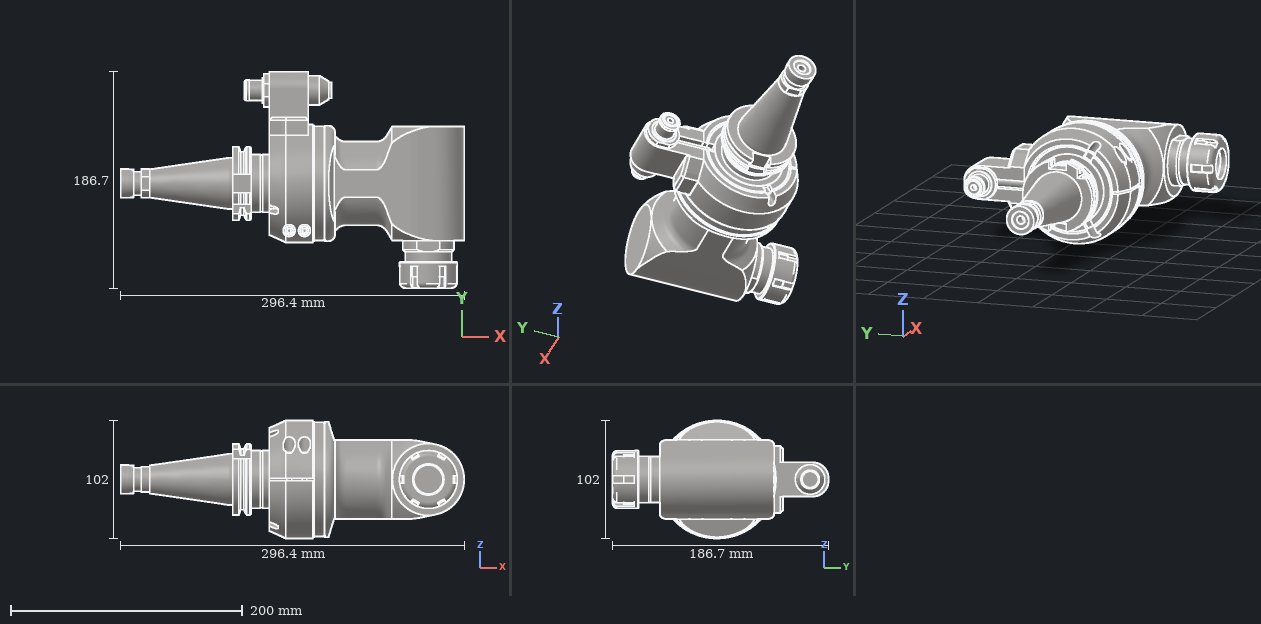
import cadquery as cq
import math



def turned(points):
    """Solid turned about the X axis from (x, radius) points; the end points lie on the axis."""
    return cq.Workplane("XY").polyline(points).close().revolve(360, (0, 0, 0), (1, 0, 0))


def rod_x(x_start, x_end, radius, y=0.0):
    """Cylinder parallel to X."""
    return cq.Workplane("YZ", origin=(x_start, y, 0)).circle(radius).extrude(x_end - x_start)


def block(x_range, y_range, z_range):
    """Box given by its limits along each axis."""
    size = [high - low for low, high in (x_range, y_range, z_range)]
    corner = (x_range[0], y_range[0], z_range[0])
    return cq.Workplane("XY").box(*size, centered=False).translate(corner)


FAR = 100.0

gauge_radius = 44.45 / 2
taper_length = 68.4
taper_ratio = 7 / 24
taper_tip_radius = gauge_radius - taper_length * taper_ratio / 2
stud_front_x = -93.4
stud_head_taper_x = -86.8
stud_head_end_x = -82.3
stud_collar_x = -75.7
stud_radius = 12.5
stud_head_rear_radius = 12.1
stud_neck_radius = 10.3
stud_half_flats = 11.0
stud_recess_radius = 7.7
stud_recess_depth = 1.5
stud_bore_radius = 3.5
stud_bore_depth = 15.0

flange_start_x = 3.2
flange_end_x = 19.3
flange_radius = 31.75
flange_chamfer = 1.2
groove_start_x = 8.6
groove_end_x = 14.3
groove_wall_run = 1.4
groove_radius = 27.5
drive_slot_width = 16.1
drive_slot_floors = (24.3, -22.8)
notch_offset = 18.0

shaft_radius = 25.0
seal_start_x = 26.8
seal_end_x = 29.0
seal_depth = 0.4

hub_front_x = 34.7
hub_radius = 37.5
hub_recess_radius = 31.3
hub_recess_depth = 0.5
hub_groove_depth = 4.0
ring_front_x = hub_front_x
ring_knee_x = 44.8
ring_full_x = 48.8
ring_chamfer_x = 72.1
ring_end_x = 73.5
ring_front_radius = 44.5
ring_knee_radius = 49.0
ring_radius = 51.0
ring_end_radius = 49.7
ring_bore_chamfer = 1.7
ring_flat_y = 41.5
slit_width = 2.0
key_groove_width = 7.4
key_groove_depth = 8.0
key_groove_angles = (60, -60)

screw_y = -40.6
screw_xs = (51.9, 65.1)
pocket_radius = 5.2
pocket_floor_z = 19.4
screw_head_radius = 3.5
screw_head_height = 4.0
screw_shank_radius = 2.1
screw_tip_z = -15.0
screw_socket_diameter = 4.0
screw_socket_depth = 2.0

head_collar_radius = 49.4
head_groove_start_x = 82.0
head_groove_end_x = 82.8
head_groove_depth = 0.9
head_flange_radius = 49.9
head_flange_end_x = 86.0
head_round_middle = (89.6, 48.4)
head_round_end = (91.1, 41.3)
neck_start_x = 100.5
neck_end_x = 127.3
neck_radius = 36.2
neck_fillet = 10.0
neck_start_angle = math.radians(45)
neck_end_angle = math.radians(60)
barrel_start_x = 140.4
barrel_x = 172.0
barrel_radius = 31.0
barrel_half_length = 49.2
flat_half_height = 34.2
relief_top_x = 85.9
relief_foot_x = 90.7
roof_break_start_x = 156.8
roof_break_end_x = 163.2
roof_tangent_x = 178.2
shell_radius = math.hypot(barrel_half_length, barrel_radius)

arm_end_x = 68.6
arm_half_height = 14.9
ear_half_height = 29.0
ear_end_y = 57.0
ear_chamfer = 2.5
pin_y = 80.3
arm_end_y = 96.35
arm_round_radius = 14.1
lever_diameter = 8.0
lever_inset = 3.5
lever_end_y = 34.6
lever_tip_y = 31.6
lever_tip_radius = 3.3

pin_radius = 9.0
pin_front_x = 13.2
pin_chamfer = 1.5
waist_start_x = 17.4
waist_end_x = 28.8
waist_radius = 8.8
pin_step_radius = 11.0
collar_front_x = 30.0
collar_radius = 14.4
collar_half_flats = 13.3
pin_bore_radius = 6.0
cap_knee_x = 77.9
cap_cone_end_x = 85.9
cap_end_x = 88.6
cap_radius = 12.8
cap_cone_radius = 8.0
cap_tip_radius = 7.0
pin_recess_radius = 5.9
pin_recess_depth = 0.8
pin_socket_radius = 2.5
pin_socket_depth = 8.0

collar_depth = 9.5
spindle_collar_radius = 22.3
spindle_half_flats = 20.0
spindle_chamfer = 1.7
spindle_radius = 20.2
nut_start_depth = 18.4
nut_depth = 41.15
nut_knee_depth = 37.1
nut_radius = 25.0
nut_round_middle = (24.0, 39.1)
nut_face_radius = 19.1
nut_mouth_radius = 13.5
nut_lip_radius = 12.5
nut_lip_depth = 36.0
nut_chamfer = 0.8
spindle_depth = 31.0
nut_slot_count = 6
nut_slot_width = 6.4
nut_slot_start_depth = 22.3
nut_slot_floor_radius = 21.4
nut_slot_step_depth = 31.3
nut_slot_rear_radius = 22.6


def make_shank():
    body = turned([
        (stud_front_x, 0),
        (stud_front_x, stud_radius),
        (stud_head_taper_x, stud_radius),
        (stud_head_end_x, stud_head_rear_radius),
        (stud_head_end_x, stud_neck_radius),
        (stud_collar_x, stud_neck_radius),
        (stud_collar_x, stud_radius),
        (-taper_length, stud_radius),
        (-taper_length, taper_tip_radius),
        (0, gauge_radius),
        (flange_start_x, gauge_radius),
        (flange_start_x, flange_radius),
        (groove_start_x, flange_radius),
        (groove_start_x + groove_wall_run, groove_radius),
        (groove_end_x - groove_wall_run, groove_radius),
        (groove_end_x, flange_radius - flange_chamfer),
        (groove_end_x + flange_chamfer, flange_radius),
        (flange_end_x - flange_chamfer, flange_radius),
        (flange_end_x, flange_radius - flange_chamfer),
        (flange_end_x, shaft_radius),
        (seal_start_x, shaft_radius),
        (seal_start_x, shaft_radius - seal_depth),
        (seal_end_x, shaft_radius - seal_depth),
        (seal_end_x, shaft_radius),
        (hub_front_x + hub_recess_depth, shaft_radius),
        (hub_front_x + hub_recess_depth, 0),
    ])
    for side in (1, -1):
        limits = sorted((side * stud_half_flats, side * FAR))
        body = body.cut(block((stud_collar_x, -taper_length), (-FAR, FAR), limits))
    flange_span = (flange_start_x, flange_end_x)
    half_slot = drive_slot_width / 2
    for floor in drive_slot_floors:
        limits = sorted((floor, math.copysign(FAR, floor)))
        body = body.cut(block(flange_span, (-half_slot, half_slot), limits))
    body = body.cut(block(flange_span, (-FAR, -notch_offset), (notch_offset, FAR)))
    body = body.cut(rod_x(stud_front_x, stud_front_x + stud_recess_depth, stud_recess_radius))
    return body.cut(rod_x(stud_front_x, stud_front_x + stud_bore_depth, stud_bore_radius))


def groove_cutter(width, depth, reach):
    """Round-bottomed groove in the ring front, running along -Y from the shank axis."""
    center_x = ring_front_x + depth - width / 2
    cutter = cq.Workplane("XZ", origin=(center_x, 0, 0)).circle(width / 2).extrude(reach)
    return cutter.union(block((ring_front_x, center_x), (-reach, 0), (-width / 2, width / 2)))


def key_groove(reach, angle):
    """Key groove at an angle from -Y towards +Z."""
    return groove_cutter(key_groove_width, key_groove_depth, reach).rotate((0, 0, 0), (1, 0, 0), -angle)


def lever_groove():
    """Groove for the pin's lever along +Y, from the hub recess to the pin bore."""
    groove = groove_cutter(lever_diameter, lever_inset + lever_diameter, pin_y)
    groove = groove.rotate((0, 0, 0), (1, 0, 0), 180)
    return groove.cut(block((0, FAR), (0, hub_recess_radius), (-FAR, FAR)))


def make_head():
    def fillet_point(end_x, direction, angle):
        """Point on a neck fillet, an angle away from where it meets the straight neck."""
        x = end_x + direction * neck_fillet * math.sin(angle)
        return x, neck_radius + neck_fillet * (1 - math.cos(angle))

    shell_start = math.sqrt(shell_radius**2 - (barrel_x - barrel_start_x) ** 2)
    shell_mid_x = (barrel_start_x + barrel_x) / 2
    shell_mid = math.sqrt(shell_radius**2 - (barrel_x - shell_mid_x) ** 2)
    tail_x = barrel_x + barrel_radius

    body = (
        cq.Workplane("XY")
        .moveTo(hub_front_x, 0)
        .lineTo(hub_front_x, hub_radius)
        .lineTo(ring_end_x, hub_radius)
        .lineTo(ring_end_x, head_collar_radius)
        .lineTo(head_groove_start_x, head_collar_radius)
        .lineTo(head_groove_start_x, head_collar_radius - head_groove_depth)
        .lineTo(head_groove_end_x, head_collar_radius - head_groove_depth)
        .lineTo(head_groove_end_x, head_flange_radius)
        .lineTo(head_flange_end_x, head_flange_radius)
        .threePointArc(head_round_middle, head_round_end)
        .lineTo(*fillet_point(neck_start_x, -1, neck_start_angle))
        .threePointArc(fillet_point(neck_start_x, -1, neck_start_angle / 2), (neck_start_x, neck_radius))
        .lineTo(neck_end_x, neck_radius)
        .threePointArc(
            fillet_point(neck_end_x, 1, neck_end_angle / 2), fillet_point(neck_end_x, 1, neck_end_angle)
        )
        .lineTo(barrel_start_x, shell_start)
        .threePointArc((shell_mid_x, shell_mid), (barrel_x, shell_radius))
        .lineTo(tail_x, shell_radius)
        .lineTo(tail_x, 0)
        .close()
        .revolve(360, (0, 0, 0), (1, 0, 0))
    )

    tangent_z = math.sqrt(barrel_radius**2 - (roof_tangent_x - barrel_x) ** 2)
    roof_slope = (roof_tangent_x - barrel_x) / tangent_z
    break_end_z = tangent_z + roof_slope * (roof_tangent_x - roof_break_end_x)
    outline = (
        cq.Workplane("XZ")
        .moveTo(hub_front_x, FAR)
        .lineTo(head_groove_end_x, FAR)
        .lineTo(relief_top_x, head_flange_radius)
        .lineTo(relief_foot_x, flat_half_height)
        .lineTo(roof_break_start_x, flat_half_height)
        .lineTo(roof_break_end_x, break_end_z)
        .lineTo(roof_tangent_x, tangent_z)
        .threePointArc((tail_x, 0), (roof_tangent_x, -tangent_z))
        .lineTo(roof_break_end_x, -break_end_z)
        .lineTo(roof_break_start_x, -flat_half_height)
        .lineTo(relief_foot_x, -flat_half_height)
        .lineTo(relief_top_x, -head_flange_radius)
        .lineTo(head_groove_end_x, -FAR)
        .lineTo(hub_front_x, -FAR)
        .close()
        .extrude(FAR, both=True)
    )
    body = body.intersect(outline)

    ends = (-barrel_half_length, barrel_half_length)
    barrel_limits = block((barrel_start_x - neck_fillet, tail_x), ends, (-FAR, FAR))
    front_limits = block((hub_front_x, barrel_start_x - neck_fillet), (-FAR, FAR), (-FAR, FAR))
    body = body.intersect(barrel_limits.union(front_limits))

    body = body.cut(rod_x(hub_front_x, hub_front_x + hub_recess_depth, hub_recess_radius))
    hub_groove = block(
        (hub_front_x, hub_front_x + hub_groove_depth),
        (-FAR, -hub_recess_radius),
        (-key_groove_width / 2, key_groove_width / 2),
    )
    for angle in key_groove_angles:
        body = body.cut(hub_groove.rotate((0, 0, 0), (1, 0, 0), -angle))
    return body.cut(lever_groove())


def make_ring():
    body = turned([
        (ring_front_x, 0),
        (ring_front_x, ring_front_radius),
        (ring_knee_x, ring_knee_radius),
        (ring_full_x, ring_radius),
        (ring_chamfer_x, ring_radius),
        (ring_end_x, ring_end_radius),
        (ring_end_x, 0),
    ])
    body = body.cut(rod_x(ring_front_x, ring_end_x, hub_radius))
    bore_chamfer = turned([
        (ring_front_x, 0),
        (ring_front_x, hub_radius + ring_bore_chamfer),
        (ring_front_x + ring_bore_chamfer, hub_radius),
        (ring_front_x + ring_bore_chamfer, 0),
    ])
    body = body.cut(bore_chamfer)
    ring_span = (ring_front_x, ring_end_x)
    body = body.cut(block((ring_front_x, arm_end_x), (ring_flat_y, FAR), (-FAR, FAR)))
    body = body.cut(block(ring_span, (-FAR, 0), (-slit_width / 2, slit_width / 2)))
    for x in screw_xs:
        pocket = cq.Workplane("XY", origin=(x, screw_y, pocket_floor_z)).circle(pocket_radius).extrude(FAR)
        body = body.cut(pocket).cut(screw_shank(x))
    for angle in key_groove_angles:
        body = body.cut(key_groove(ring_knee_radius, angle))
    return body.cut(lever_groove())


def screw_shank(x):
    length = pocket_floor_z - screw_tip_z
    return cq.Workplane("XY", origin=(x, screw_y, screw_tip_z)).circle(screw_shank_radius).extrude(length)


def make_screw(x):
    head = cq.Workplane("XY", origin=(x, screw_y, pocket_floor_z)).circle(screw_head_radius)
    head = head.extrude(screw_head_height)
    socket = head.faces(">Z").workplane(origin=(x, screw_y, 0)).polygon(6, screw_socket_diameter)
    return socket.cutBlind(-screw_socket_depth).union(screw_shank(x))


def ring_chord(radius):
    """Half width of the ring where its flat seat cuts a circle of this radius."""
    return math.sqrt(radius**2 - ring_flat_y**2)


def make_arm():
    half_outline = [
        (ring_front_x, ring_chord(ring_front_radius)),
        (ring_knee_x, ring_chord(ring_knee_radius)),
        (ring_full_x, ear_half_height),
        (arm_end_x, ear_half_height),
    ]
    mirrored = [(x, -z) for x, z in reversed(half_outline)]
    base = cq.Workplane("XZ", origin=(0, ring_flat_y, 0)).polyline(half_outline + mirrored).close()
    base = base.extrude(ring_flat_y - ear_end_y).faces(">Y").edges().chamfer(ear_chamfer)
    tongue = block((ring_front_x, arm_end_x), (ring_flat_y, arm_end_y), (-arm_half_height, arm_half_height))
    tongue = tongue.faces(">Y").edges("|X").fillet(arm_round_radius)
    body = base.union(tongue).cut(rod_x(ring_front_x, arm_end_x, pin_bore_radius, pin_y))
    return body.cut(lever_groove())


def make_pin():
    pin = turned([
        (pin_front_x, 0),
        (pin_front_x, pin_radius - pin_chamfer),
        (pin_front_x + pin_chamfer, pin_radius),
        (waist_start_x, pin_radius),
        (waist_start_x, waist_radius),
        (waist_end_x, waist_radius),
        (waist_end_x, pin_step_radius),
        (collar_front_x, pin_step_radius),
        (collar_front_x, collar_radius),
        (ring_front_x, collar_radius),
        (ring_front_x, pin_bore_radius),
        (arm_end_x, pin_bore_radius),
        (arm_end_x, cap_radius),
        (cap_knee_x, cap_radius),
        (cap_cone_end_x, cap_cone_radius),
        (cap_cone_end_x, cap_tip_radius),
        (cap_end_x, cap_tip_radius),
        (cap_end_x, 0),
    ])
    for side in (1, -1):
        limits = sorted((side * collar_half_flats, side * FAR))
        pin = pin.cut(block((collar_front_x, ring_front_x), (-FAR, FAR), limits))
    pin = pin.cut(rod_x(pin_front_x, pin_front_x + pin_recess_depth, pin_recess_radius))
    pin = pin.cut(rod_x(pin_front_x, pin_front_x + pin_socket_depth, pin_socket_radius))
    pin = pin.translate((0, pin_y, 0))
    lever_radius = lever_diameter / 2
    plane = cq.Workplane("XZ", origin=(ring_front_x + lever_inset + lever_radius, pin_y, 0))
    lever = plane.circle(lever_radius).extrude(pin_y - lever_end_y)
    tip = plane.circle(lever_tip_radius).extrude(pin_y - lever_tip_y)
    return pin.union(lever).union(tip)


def chuck_disc(start, end, radius):
    """Cylinder on the chuck axis between two depths from the head."""
    plane = cq.Workplane("XZ", origin=(barrel_x, -barrel_half_length - start, 0))
    return plane.circle(radius).extrude(end - start)


def make_spindle():
    collar = chuck_disc(0, collar_depth, spindle_collar_radius).faces("<Y").chamfer(spindle_chamfer)
    flats = (-spindle_half_flats, spindle_half_flats)
    collar = collar.intersect(block((0, barrel_x + FAR), (-FAR, 0), flats))
    return collar.union(chuck_disc(collar_depth, spindle_depth, spindle_radius))


def make_nut():
    nut = (
        cq.Workplane("XY")
        .moveTo(0, nut_start_depth)
        .lineTo(nut_radius - nut_chamfer, nut_start_depth)
        .lineTo(nut_radius, nut_start_depth + nut_chamfer)
        .lineTo(nut_radius, nut_knee_depth)
        .threePointArc(nut_round_middle, (nut_face_radius, nut_depth))
        .lineTo(0, nut_depth)
        .close()
        .revolve(360, (0, 0, 0), (0, 1, 0))
        .rotate((0, 0, 0), (0, 0, 1), 180)
        .translate((barrel_x, -barrel_half_length, 0))
    )
    nut = nut.cut(chuck_disc(nut_start_depth, spindle_depth, spindle_radius))
    nut = nut.cut(chuck_disc(spindle_depth, nut_depth, nut_lip_radius))
    nut = nut.cut(chuck_disc(nut_lip_depth, nut_depth, nut_mouth_radius))
    half_width = nut_slot_width / 2
    front_y, step_y, rear_y = (
        -barrel_half_length - depth for depth in (nut_depth, nut_slot_step_depth, nut_slot_start_depth)
    )
    slot = block((nut_slot_floor_radius, FAR), (front_y, step_y), (-half_width, half_width))
    slot = slot.union(block((nut_slot_rear_radius, FAR), (step_y, rear_y), (-half_width, half_width)))
    for i in range(nut_slot_count):
        angle = i * 360 / nut_slot_count
        nut = nut.cut(slot.rotate((0, 0, 0), (0, 1, 0), angle).translate((barrel_x, 0, 0)))
    return nut


shank = make_shank()
head = make_head()
ring = make_ring()
screws = [make_screw(x) for x in screw_xs]
arm = make_arm()
pin = make_pin()
spindle = make_spindle()
nut = make_nut()

bodies = [shank, head, ring, *screws, arm, pin, spindle, nut]
result = cq.Compound.makeCompound([body.solids().val() for body in bodies])